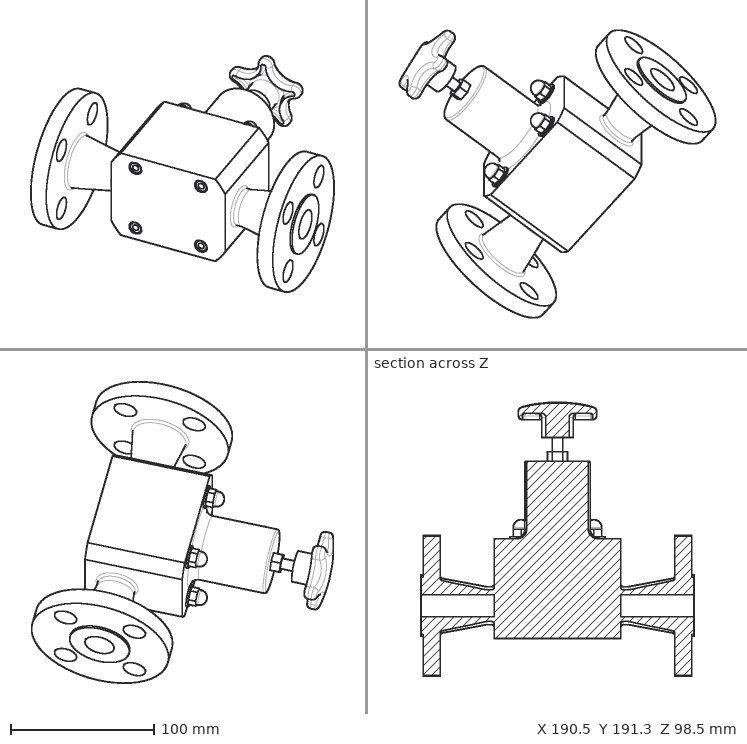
import cadquery as cq
import math


cos_45 = math.sqrt(0.5)

body_length = 88.4
body_height = 69.85
body_back = 46.87
body_front = body_back - body_height
body_turned_diameter = 101.2

overall_length = 190.5
flange_diameter = 98.55
flange_thickness = 12.0
raised_face_diameter = 42.93
raised_face_height = 1.5
hub_diameter = 38.1
neck_diameter = 26.67
neck_cone_start = 49.5
pipe_fillet = 1.7
bore_diameter = 20.93
flange_hole_diameter = 15.88
flange_hole_circle = 69.85

bonnet_diameter = 45.72
bonnet_back = 100.85
bonnet_base_fillet = 6.35
bonnet_edge_fillet = 1.3
gland_across_flats = 12.3
gland_height = 6.7
spindle_diameter = 7.44
boss_diameter = 22.1
boss_front = 117.3

knob_front = 129.6
knob_back = 142.05
knob_lobes = 5
lobe_circle_radius = 23.5
lobe_tip_radius = 5.1
knob_valley_radius = 17.0
knob_blank_height = knob_back - knob_front + 1.0
knob_dome_radius = 95.0
knob_edge_fillet = 3.175
knob_wall = 3.2
knob_pocket_depth = 4.5
knob_pocket_fillet = 1.5
knob_boss_fillet = 2.5

bolt_offset = 25.4
washer_diameter = 15.75
washer_thickness = 1.3
nut_across_flats = 11.0
nut_height = 5.1
nut_turn = 30.0
cap_diameter = 11.0
cap_straight = 1.3
head_diameter = 9.53
head_recess = 0.5
head_chamfer = 0.7
socket_diameter = 4.45
socket_depth = 2.0


def plane_at(y):
    """Workplane normal to +Y, with local x along -X and local y along +Z."""
    return cq.Workplane("XZ", origin=(0, y, 0)).transformed(rotate=(0, 180, 0))


def cylinder(diameter, start, end):
    return plane_at(start).circle(diameter / 2).extrude(end - start)


def hexagon(across_flats, start, end, turn=0.0):
    """Hexagonal prism along Y; with no turn its corners lie along X."""
    across_corners = across_flats / math.cos(math.pi / 6)
    prism = plane_at(start).polygon(6, across_corners).extrude(end - start)
    return prism.rotate((0, 0, 0), (0, 1, 0), turn)


def make_body():
    block = cq.Workplane("XY").box(body_length, body_height, body_height)
    block = block.translate((0, (body_back + body_front) / 2, 0))
    return block.intersect(cylinder(body_turned_diameter, body_front, body_back))


def make_pipe_end():
    """Pipe end on the +X side: neck, tapered hub, flange and raised face."""
    body_side = body_length / 2
    face = overall_length / 2
    flange_front = face - raised_face_height
    flange_back = flange_front - flange_thickness
    hub_radius = hub_diameter / 2
    neck_radius = neck_diameter / 2
    blend = pipe_fillet * (1 - cos_45)
    profile = (
        cq.Workplane("XY")
        .moveTo(body_side, 0)
        .lineTo(body_side, neck_radius + pipe_fillet)
        .threePointArc(
            (body_side + blend, neck_radius + blend),
            (body_side + pipe_fillet, neck_radius),
        )
        .lineTo(neck_cone_start, neck_radius)
        .lineTo(flange_back - pipe_fillet, hub_radius)
        .threePointArc(
            (flange_back - blend, hub_radius + blend),
            (flange_back, hub_radius + pipe_fillet),
        )
        .lineTo(flange_back, flange_diameter / 2)
        .lineTo(flange_front, flange_diameter / 2)
        .lineTo(flange_front, raised_face_diameter / 2)
        .lineTo(face, raised_face_diameter / 2)
        .lineTo(face, 0)
        .close()
    )
    pipe = profile.revolve(360, (0, 0, 0), (1, 0, 0))
    bolt_span = flange_hole_circle * cos_45
    holes = (
        cq.Workplane("YZ", origin=(flange_back, 0, 0))
        .rect(bolt_span, bolt_span, forConstruction=True)
        .vertices()
        .circle(flange_hole_diameter / 2)
        .extrude(flange_thickness)
    )
    bore = (
        cq.Workplane("YZ", origin=(body_side, 0, 0))
        .circle(bore_diameter / 2)
        .extrude(face - body_side)
    )
    return pipe.cut(holes).cut(bore)


def flared_post(diameter, root, tip, flare):
    """Round post along Y from root to tip, widening at the root in a concave fillet."""
    radius = diameter / 2
    direction = math.copysign(1, tip - root)
    blend = flare * (1 - cos_45)
    profile = (
        cq.Workplane("XY")
        .moveTo(0, root)
        .lineTo(radius + flare, root)
        .threePointArc(
            (radius + blend, root + direction * blend),
            (radius, root + direction * flare),
        )
        .lineTo(radius, tip)
        .lineTo(0, tip)
        .close()
    )
    return profile.revolve(360, (0, 0, 0), (0, 1, 0))


def make_bonnet():
    """Round bonnet that flares out where it meets the body."""
    bonnet = flared_post(bonnet_diameter, body_back, bonnet_back, bonnet_base_fillet)
    return bonnet.faces(">Y").edges().fillet(bonnet_edge_fillet)


def make_spindle():
    gland = hexagon(gland_across_flats, bonnet_back, bonnet_back + gland_height)
    rod = cylinder(spindle_diameter, bonnet_back, boss_front)
    return gland.union(rod)


def star(inset, start, height):
    """Star prism: lobe tips and valleys are tangent arcs, all offset inwards by inset."""
    half_pitch = math.pi / knob_lobes
    gap = knob_valley_radius - lobe_tip_radius
    valley_center = (lobe_circle_radius**2 - gap**2) / (
        2 * (lobe_circle_radius * math.cos(half_pitch) - gap)
    )
    valley_arc = valley_center - knob_valley_radius
    tip_share = lobe_tip_radius - inset
    share = tip_share / (valley_arc + lobe_tip_radius)

    def polar(radius, angle):
        return (radius * math.sin(angle), radius * math.cos(angle))

    def tangent_point(lobe_angle, side):
        tip = polar(lobe_circle_radius, lobe_angle)
        valley = polar(valley_center, lobe_angle + side * half_pitch)
        return tuple(t + share * (v - t) for t, v in zip(tip, valley))

    outline = plane_at(start).moveTo(*tangent_point(0, -1))
    for lobe in range(knob_lobes):
        angle = lobe * 2 * half_pitch
        next_angle = angle + 2 * half_pitch
        tip_end = polar(lobe_circle_radius + tip_share, angle)
        valley_bottom = polar(knob_valley_radius - inset, angle + half_pitch)
        outline = outline.threePointArc(tip_end, tangent_point(angle, 1))
        outline = outline.threePointArc(valley_bottom, tangent_point(next_angle, -1))
    return outline.close().extrude(height)


def make_knob():
    """Domed star knob, hollow underneath, with a boss flaring out of the hollow."""
    dome = cq.Workplane("XY").sphere(knob_dome_radius)
    dome = dome.translate((0, knob_back - knob_dome_radius, 0))
    knob = star(0, knob_front, knob_blank_height).intersect(dome)
    knob = knob.faces("<Y").edges().fillet(knob_edge_fillet)
    knob = knob.faces(">Y").edges().fillet(knob_edge_fillet)
    pocket_back = knob_front + knob_pocket_depth
    pocket = star(knob_wall, knob_front, knob_pocket_depth)
    pocket = pocket.faces(">Y").edges().fillet(knob_pocket_fillet)
    boss = flared_post(boss_diameter, pocket_back, boss_front, knob_boss_fillet)
    return knob.cut(pocket).union(boss)


def make_cap_nut():
    """Washer, hexagon and domed cap standing on the back of the body."""
    washer_top = body_back + washer_thickness
    nut_top = washer_top + nut_height
    cap_base = nut_top + cap_straight
    dome = cq.Workplane("XY").sphere(cap_diameter / 2).translate((0, cap_base, 0))
    return (
        cylinder(washer_diameter, body_back, washer_top)
        .union(hexagon(nut_across_flats, washer_top, nut_top, nut_turn))
        .union(cylinder(cap_diameter, nut_top, cap_base))
        .union(dome)
    )


def make_head_recess():
    """Cutter that leaves a chamfered screw head with a conical socket below the front face."""
    radius = head_diameter / 2
    head_face = body_front + head_recess
    return (
        cq.Workplane("XY")
        .moveTo(0, body_front)
        .lineTo(radius, body_front)
        .lineTo(radius, head_face + head_chamfer)
        .lineTo(radius - head_chamfer, head_face)
        .lineTo(socket_diameter / 2, head_face)
        .lineTo(0, head_face + socket_depth)
        .close()
        .revolve(360, (0, 0, 0), (0, 1, 0))
    )


pipe_end = make_pipe_end()
result = make_body().union(pipe_end).union(pipe_end.mirror("YZ"))
result = result.union(make_bonnet()).union(make_spindle()).union(make_knob())

cap_nut = make_cap_nut()
head_recess_cutter = make_head_recess()
for x in (-bolt_offset, bolt_offset):
    for z in (-bolt_offset, bolt_offset):
        result = result.union(cap_nut.translate((x, 0, z)))
        result = result.cut(head_recess_cutter.translate((x, 0, z)))